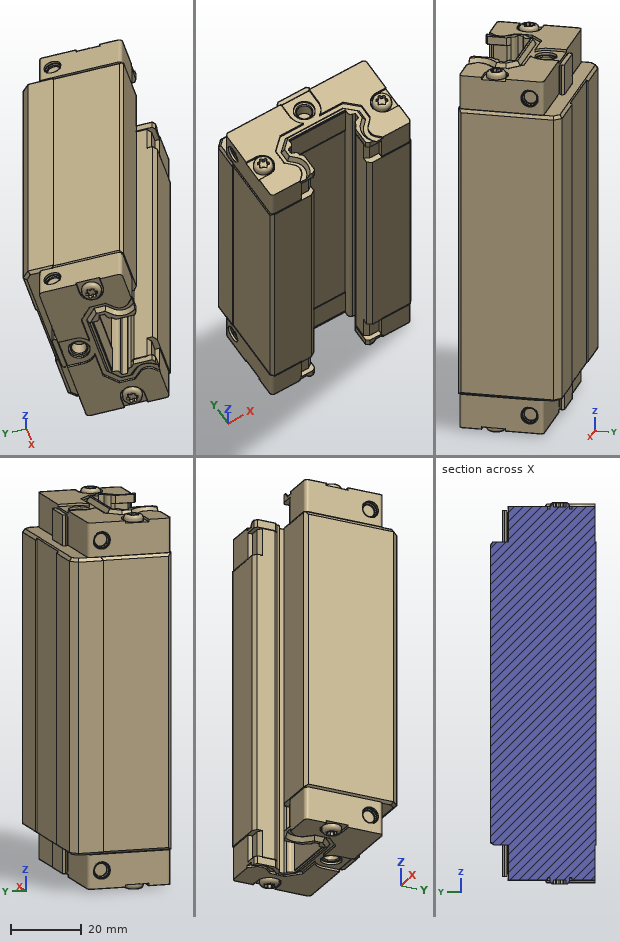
import cadquery as cq
import math

BODY_WIDTH = 48.0
BODY_HEIGHT = 30.2
BODY_LENGTH = 86.6
TOTAL_LENGTH = 109.0
HALF_BODY = BODY_LENGTH / 2
SCREW_TOP_Z = TOTAL_LENGTH / 2

BODY_TOP_CHAMFER = 2.0
BODY_LOW_CHAMFER = 1.0
END_CHAMFER_SIDE = 1.0
END_CHAMFER_LENGTH = 0.7
RELIEF_HALF_WIDTH = 9.8
RELIEF_DEPTH = 0.4
SIDE_RELIEF_DEPTH = 0.3
SIDE_RELIEF_TOP = 20.6

CAP_HALF_WIDTH = 23.6
CAP_BOTTOM = 0.3
CAP_TOP = 25.1
CAP_TOP_Z = 53.4
CAP_CORNER = 1.1
RECESS_Z = 52.7
NOTCH_TOP_Z = 51.7
NOTCH_HALF = [
    [(8.5, 2.7)],
    [(8.9, 2.7)],
    [(10.3, 1.7)],
    [(13.5, 1.7)],
    [(13.5, 0.0)],
]

LIP_TOP_Z = 54.1
LIP_BEVEL = 0.9

PORT_Y = 20.2
PORT_MOUTH_DIAMETER = 6.2
PORT_SHOULDER_DIAMETER = 5.0
PORT_DIAMETER = 4.4
PORT_DEPTH = 5.0
PORT_PAD_HALF_WIDTH = 4.75
SIDE_PORT_Y = 21.0
SIDE_PORT_Z = 48.1
SIDE_PORT_MOUTH_DIAMETER = 5.0
SIDE_PORT_SHOULDER_DIAMETER = 4.4
SIDE_PORT_DIAMETER = 3.8
SIDE_PORT_DEPTH = 1.5
PORT_MOUTH_DEPTH = 0.7

TAB_TOP_Z = 52.3
TAB_FRONT = 25.4
TAB_BACK = 26.8
TAB_BEVEL = 0.75
TAB_NECK_DROP = 0.7

SCREW_X = 20.0
SCREW_Y = 10.4
SCREW_HEAD_DIAMETER = 5.7
SCREW_HEAD_ROUNDING = 1.1
SCREW_POCKET_X = 20.3
SCREW_POCKET_RADIUS = 3.5
SOCKET_DIAMETER = 2.5
SOCKET_LOBE_DIAMETER = 0.9
SOCKET_DEPTH = 1.2
SOCKET_LOBES = 6

CHANNEL_BACK_HALF = 9.5
BACK_WALL_Y = 13.2
BACK_WALL_RELIEF = 0.2
RAIL_GAP_HALF = 8.9
LIP_GAP_HALF = 8.6
GAP_CHAMFER_X = 1.4
GAP_CHAMFER_Y = 1.0


def channel_half(gap_half):
    """Right half of the rail channel, with bulged tracks above and below the side wall."""
    return [
        [(CHANNEL_BACK_HALF, BACK_WALL_Y)],
        [(CHANNEL_BACK_HALF, 12.3)],
        [(9.8, 11.45), (10.6, 11.1)],
        [(11.3, 10.8)],
        [(11.3, 9.2)],
        [(10.6, 8.9)],
        [(9.8, 8.5), (9.5, 7.6)],
        [(gap_half, 6.6)],
        [(gap_half, GAP_CHAMFER_Y)],
        [(gap_half + GAP_CHAMFER_X, 0.0)],
        [(gap_half + GAP_CHAMFER_X, -1.0)],
    ]


GROOVE_HALF = [
    [(10.6, 16.3)],
    [(14.5, 12.6)],
    [(14.5, 7.9)],
    [(12.7, 6.0)],
    [(11.7, 3.85), (12.7, 1.6)],
    [(14.3, 0.0)],
    [(14.3, -1.0)],
]
LIP_HALF = [
    [(9.7, 15.0)],
    [(13.2, 11.7)],
    [(13.2, 8.3)],
    [(11.2, 6.3)],
    [(10.3, 3.85), (11.0, 1.4)],
    [(12.0, 0.0)],
    [(12.0, -2.0)],
]


def mirrored_outline(half, z):
    """Closed outline on the plane at height z from the steps of its right half."""
    ends = [step[-1] for step in half]
    first_x, first_y = ends[0]
    outline = cq.Workplane("XY", origin=(0, 0, z)).moveTo(first_x, first_y)
    for step in half[1:]:
        outline = outline.threePointArc(*step) if len(step) == 2 else outline.lineTo(*step[0])

    outline = outline.lineTo(-ends[-1][0], ends[-1][1])
    for index in range(len(half) - 1, 0, -1):
        end = (-ends[index - 1][0], ends[index - 1][1])
        if len(half[index]) == 2:
            middle_x, middle_y = half[index][0]
            outline = outline.threePointArc((-middle_x, middle_y), end)
        else:
            outline = outline.lineTo(*end)
    return outline.close()


def box(x0, x1, y0, y1, z0, z1):
    return cq.Workplane("XY").box(x1 - x0, y1 - y0, z1 - z0, centered=False).translate((x0, y0, z0))


def disc(diameter, x, y, z, height):
    return cq.Workplane("XY", origin=(x, y, z)).circle(diameter / 2).extrude(height)


def make_body():
    half_width = BODY_WIDTH / 2
    body = box(-half_width, half_width, 0, BODY_HEIGHT, -HALF_BODY, HALF_BODY)
    body = body.edges("|Z and >Y").chamfer(BODY_TOP_CHAMFER)
    body = body.cut(box(-half_width, -half_width + SIDE_RELIEF_DEPTH, 0, SIDE_RELIEF_TOP,
                        -HALF_BODY, HALF_BODY))
    body = body.edges("|Z and <Y").chamfer(BODY_LOW_CHAMFER)

    end_edges = body.edges("<Z or >Z").filter(lambda edge: edge.Center().y > BODY_LOW_CHAMFER)
    body = body.newObject(end_edges.vals()).chamfer(END_CHAMFER_LENGTH, END_CHAMFER_SIDE)

    return body.cut(box(-RELIEF_HALF_WIDTH, RELIEF_HALF_WIDTH, BODY_HEIGHT - RELIEF_DEPTH, BODY_HEIGHT,
                        -HALF_BODY, HALF_BODY))


def make_cap_block():
    block = box(-CAP_HALF_WIDTH, CAP_HALF_WIDTH, CAP_BOTTOM, CAP_TOP, HALF_BODY, CAP_TOP_Z)
    return block.edges("|Z").fillet(CAP_CORNER)


def make_tab():
    """Tab with pointed sides on a narrower, slightly shorter neck."""
    half = PORT_PAD_HALF_WIDTH
    outline = [
        [(half, TAB_FRONT)],
        [(half + TAB_BEVEL, (TAB_FRONT + TAB_BACK) / 2)],
        [(half, TAB_BACK)],
    ]
    tab = mirrored_outline(outline, HALF_BODY).extrude(TAB_TOP_Z - HALF_BODY)
    return tab.union(box(-half, half, CAP_TOP, TAB_FRONT, HALF_BODY, TAB_TOP_Z - TAB_NECK_DROP))


def make_end_recesses():
    """Shallow recesses in the cap end: seal groove, port pad and screw pockets."""
    depth = CAP_TOP_Z - RECESS_Z
    recess = mirrored_outline(GROOVE_HALF, RECESS_Z).extrude(depth)
    pad = box(-PORT_PAD_HALF_WIDTH, PORT_PAD_HALF_WIDTH, PORT_Y, CAP_TOP, RECESS_Z, CAP_TOP_Z)
    pad = pad.union(disc(2 * PORT_PAD_HALF_WIDTH, 0, PORT_Y, RECESS_Z, depth))
    recess = recess.union(pad)
    for side in (-1, 1):
        inner, outer = sorted((side * SCREW_POCKET_X, side * BODY_WIDTH / 2))
        radius = SCREW_POCKET_RADIUS
        recess = recess.union(box(inner, outer, SCREW_Y - radius, SCREW_Y + radius, RECESS_Z, CAP_TOP_Z))
        recess = recess.union(disc(2 * radius, side * SCREW_POCKET_X, SCREW_Y, RECESS_Z, depth))
    return recess


def make_lip():
    height = LIP_TOP_Z - RECESS_Z
    taper = math.degrees(math.atan(LIP_BEVEL / height))
    lip = mirrored_outline(LIP_HALF, RECESS_Z).extrude(height, taper=taper)
    return lip.intersect(box(-BODY_WIDTH, BODY_WIDTH, CAP_BOTTOM, BODY_HEIGHT, RECESS_Z, LIP_TOP_Z))


def make_screw_head(x):
    """Domed head with a six-lobed socket."""
    head = disc(SCREW_HEAD_DIAMETER, 0, 0, RECESS_Z, SCREW_TOP_Z - RECESS_Z)
    head = head.faces(">Z").edges().fillet(SCREW_HEAD_ROUNDING)

    floor_z = SCREW_TOP_Z - SOCKET_DEPTH
    socket = disc(SOCKET_DIAMETER, 0, 0, floor_z, SOCKET_DEPTH)
    for lobe in range(SOCKET_LOBES):
        angle = 2 * math.pi * (lobe + 0.5) / SOCKET_LOBES
        lobe_x = SOCKET_DIAMETER / 2 * math.cos(angle)
        lobe_y = SOCKET_DIAMETER / 2 * math.sin(angle)
        socket = socket.union(disc(SOCKET_LOBE_DIAMETER, lobe_x, lobe_y, floor_z, SOCKET_DEPTH))
    return head.cut(socket).translate((x, SCREW_Y, 0))


def stepped_port(mouth_diameter, shoulder_diameter, bore_diameter, depth):
    """Blind port along -Z from the origin: flat counterbore, 45 degree shoulder, then the bore."""
    shoulder = (shoulder_diameter - bore_diameter) / 2
    profile = [
        (0, 0),
        (mouth_diameter / 2, 0),
        (mouth_diameter / 2, -PORT_MOUTH_DEPTH),
        (shoulder_diameter / 2, -PORT_MOUTH_DEPTH),
        (bore_diameter / 2, -PORT_MOUTH_DEPTH - shoulder),
        (bore_diameter / 2, -depth),
        (0, -depth),
    ]
    return cq.Workplane("XZ").polyline(profile).close().revolve(360, (0, 0, 0), (0, 1, 0))


def make_end_cap():
    cap = make_cap_block().cut(make_end_recesses()).union(make_tab()).union(make_lip())
    end_port = stepped_port(PORT_MOUTH_DIAMETER, PORT_SHOULDER_DIAMETER, PORT_DIAMETER, PORT_DEPTH)
    cap = cap.cut(end_port.translate((0, PORT_Y, RECESS_Z)))
    side_port = stepped_port(SIDE_PORT_MOUTH_DIAMETER, SIDE_PORT_SHOULDER_DIAMETER, SIDE_PORT_DIAMETER,
                             SIDE_PORT_DEPTH)
    for side in (-1, 1):
        turned = side_port.rotate((0, 0, 0), (0, 1, 0), side * 90)
        cap = cap.cut(turned.translate((side * CAP_HALF_WIDTH, SIDE_PORT_Y, SIDE_PORT_Z)))
    cap = cap.cut(mirrored_outline(NOTCH_HALF, HALF_BODY).extrude(NOTCH_TOP_Z - HALF_BODY))
    for side in (-1, 1):
        cap = cap.union(make_screw_head(side * SCREW_X))
    return cap


def make_channel():
    """Rail channel through the whole part; its back wall is set back in the body and at the lips."""
    channel = mirrored_outline(channel_half(LIP_GAP_HALF), -SCREW_TOP_Z).extrude(TOTAL_LENGTH)
    wide = mirrored_outline(channel_half(RAIL_GAP_HALF), -NOTCH_TOP_Z).extrude(2 * NOTCH_TOP_Z)
    channel = channel.union(wide)
    back = BACK_WALL_Y + BACK_WALL_RELIEF
    for z0, z1 in ((-SCREW_TOP_Z, -CAP_TOP_Z), (-HALF_BODY, HALF_BODY), (CAP_TOP_Z, SCREW_TOP_Z)):
        channel = channel.union(box(-CHANNEL_BACK_HALF, CHANNEL_BACK_HALF, BACK_WALL_Y, back, z0, z1))
    return channel


upper_cap = make_end_cap()
lower_cap = upper_cap.mirror("XY")
result = make_body().union(upper_cap).union(lower_cap).cut(make_channel())